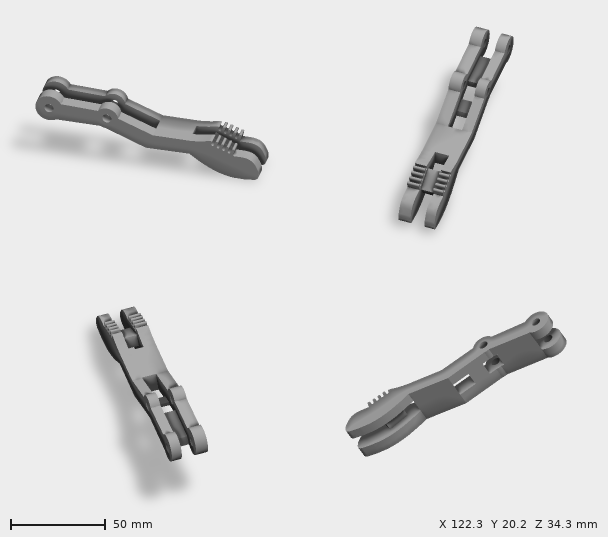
import cadquery as cq
import math


GAP = 8.0
FRONT_ARM_WIDTH = 6.7
BACK_ARM_WIDTH = 5.5

PIN_HOLE_DIAMETER = 5.0
END_EYE_RADIUS = 7.5
MIDDLE_EYE_RADIUS = 6.2
END_EYE = (0, 0)
MIDDLE_EYE = (31.7, -1.1)

SHANK_TOP_START = (5.5, 3.7)
SHANK_TOP_END = (27.3, 2.8)
SHANK_BOTTOM = -6.4
SHANK_BOTTOM_END = 28.7
SLOPE_TOP_START = (37.7, -0.1)
NECK_TOP_START = 56.8
NECK_TOP_END = 76.8
NECK_TOP = -7.5
NECK_BOTTOM_START = (52.9, -15.9)
NECK_BOTTOM_END = (76.8, -15.6)
SLOPE = (NECK_BOTTOM_START[1] - SHANK_BOTTOM) / (NECK_BOTTOM_START[0] - SHANK_BOTTOM_END)

TOOTH_COUNT = 4
TOOTH_PITCH = 3.2
TOOTH_RADIUS = TOOTH_PITCH / 4
TOOTH_FLANK = 2.0
GRIP_TILT = math.radians(20)
FIRST_TIP = (91.7, -6.5)
GRIP_RISE_MIDDLE = (83.1, -6.8)
GRIP_CREST = (87.4, -5.9)
CREST_DROP = 0.4

SHELF_START = (100.6, -13.1)
NOSE_POINTS = [(106.8, -13.2), (110.0, -14.2), (112.6, -16.6), (114.2, -19.8), (114.7, -22.4)]
HEEL_MIDDLE = (114.2, -25.0)
HEEL_END = (112.2, -26.2)
BELLY_POINTS = [(105.1, -26.8), (97.8, -26.2), (91.0, -24.1), (83.4, -20.2)]

SLOPE_BRIDGE_BOTTOM_X = (35.1, 43.6)
SLOPE_BRIDGE_TOP = [(42.4, -9.8), (35.8, -7.2)]

END_SPACER_TOP = -3.0
END_SPACER_TOP_X = (6.7, 26.0)
END_SPACER_BOTTOM_X = (3.8, 26.4)

PADDLE_SPACER_CORNER = (87.4, -9.4)
PADDLE_SPACER_LENGTH = 12.1
PADDLE_SPACER_HEIGHT = 6.2
PADDLE_SPACER_TILT = math.radians(28)


def tilted_point(origin, tilt, along, height):
    """Point at a distance along and above a line that falls towards +X from the origin."""
    x = origin[0] + along * math.cos(tilt) + height * math.sin(tilt)
    z = origin[1] - along * math.sin(tilt) + height * math.cos(tilt)
    return (x, z)


def grip_point(along, height):
    return tilted_point(FIRST_TIP, GRIP_TILT, along, height)


def plane_at(y):
    """Profile plane at y; extruding a positive distance goes towards -Y."""
    return cq.Workplane("XZ", origin=(0, y, 0))


def add_teeth(outline):
    """Continue the outline through each groove and the round-tipped tooth after it."""
    for number in range(TOOTH_COUNT):
        tip = number * TOOTH_PITCH
        groove = tip - TOOTH_PITCH / 2
        outline = (
            outline
            .lineTo(*grip_point(groove - TOOTH_RADIUS, -TOOTH_FLANK))
            .threePointArc(
                grip_point(groove, -TOOTH_FLANK - TOOTH_RADIUS),
                grip_point(groove + TOOTH_RADIUS, -TOOTH_FLANK),
            )
            .lineTo(*grip_point(tip - TOOTH_RADIUS, 0))
            .threePointArc(grip_point(tip, TOOTH_RADIUS), grip_point(tip + TOOTH_RADIUS, 0))
        )
    return outline


def arm(outer_y, width):
    """One arm, from its +Y face at outer_y through its width towards -Y."""
    crest_end = grip_point(-TOOTH_PITCH / 2 - TOOTH_RADIUS, -CREST_DROP)
    outline = (
        plane_at(outer_y)
        .moveTo(END_EYE[0], SHANK_BOTTOM)
        .lineTo(*END_EYE)
        .lineTo(*SHANK_TOP_START)
        .lineTo(*SHANK_TOP_END)
        .lineTo(*SLOPE_TOP_START)
        .lineTo(NECK_TOP_START, NECK_TOP)
        .lineTo(NECK_TOP_END, NECK_TOP)
        .threePointArc(GRIP_RISE_MIDDLE, GRIP_CREST)
        .tangentArcPoint(crest_end, relative=False)
    )
    outline = (
        add_teeth(outline)
        .lineTo(*SHELF_START)
        .spline(NOSE_POINTS, tangents=[(1, 0), (0, -1)], includeCurrent=True)
        .threePointArc(HEEL_MIDDLE, HEEL_END)
        .spline([*BELLY_POINTS, NECK_BOTTOM_END], includeCurrent=True)
        .lineTo(*NECK_BOTTOM_START)
        .lineTo(SHANK_BOTTOM_END, SHANK_BOTTOM)
        .close()
    )
    body = outline.extrude(width)
    for centre, radius in ((END_EYE, END_EYE_RADIUS), (MIDDLE_EYE, MIDDLE_EYE_RADIUS)):
        body = body.union(plane_at(outer_y).center(*centre).circle(radius).extrude(width))
    holes = (
        plane_at(outer_y)
        .pushPoints([END_EYE, MIDDLE_EYE])
        .circle(PIN_HOLE_DIAMETER / 2)
        .extrude(width)
    )
    return body.cut(holes)


def block(corners):
    """A block with the given profile corners that fills the gap between the arms."""
    return plane_at(GAP / 2).polyline(corners).close().extrude(GAP)


def slope_bottom(x):
    """Height of the sloping underside of the arms."""
    return SHANK_BOTTOM + SLOPE * (x - SHANK_BOTTOM_END)


def slope_bridge():
    """Small block under the middle eye, flush with the sloping underside."""
    bottom = [(x, slope_bottom(x)) for x in SLOPE_BRIDGE_BOTTOM_X]
    return block([*bottom, *SLOPE_BRIDGE_TOP])


def neck_bridge():
    """Full-height block that fills the neck, flush above and below."""
    return block([
        NECK_BOTTOM_START,
        NECK_BOTTOM_END,
        (NECK_TOP_END, NECK_TOP),
        (NECK_TOP_START, NECK_TOP),
    ])


def frame():
    """The two arms and the two bridges as one solid."""
    front_arm = arm(-GAP / 2, FRONT_ARM_WIDTH)
    back_arm = arm(GAP / 2 + BACK_ARM_WIDTH, BACK_ARM_WIDTH)
    return neck_bridge().union(front_arm).union(back_arm).union(slope_bridge()).clean()


def end_spacer():
    """Block near the end eye, flush with the shank's underside."""
    return block([
        (END_SPACER_BOTTOM_X[0], SHANK_BOTTOM),
        (END_SPACER_BOTTOM_X[1], SHANK_BOTTOM),
        (END_SPACER_TOP_X[1], END_SPACER_TOP),
        (END_SPACER_TOP_X[0], END_SPACER_TOP),
    ])


def paddle_spacer():
    """Tilted rectangular block below the teeth, just inside the paddle's lower edge."""
    corners = [
        (0, 0),
        (0, -PADDLE_SPACER_HEIGHT),
        (PADDLE_SPACER_LENGTH, -PADDLE_SPACER_HEIGHT),
        (PADDLE_SPACER_LENGTH, 0),
    ]
    return block([
        tilted_point(PADDLE_SPACER_CORNER, PADDLE_SPACER_TILT, along, height)
        for along, height in corners
    ])


lever_frame = frame()
end_block = end_spacer()
paddle_block = paddle_spacer()

result = cq.Compound.makeCompound([
    lever_frame.val(),
    end_block.val(),
    paddle_block.val(),
])